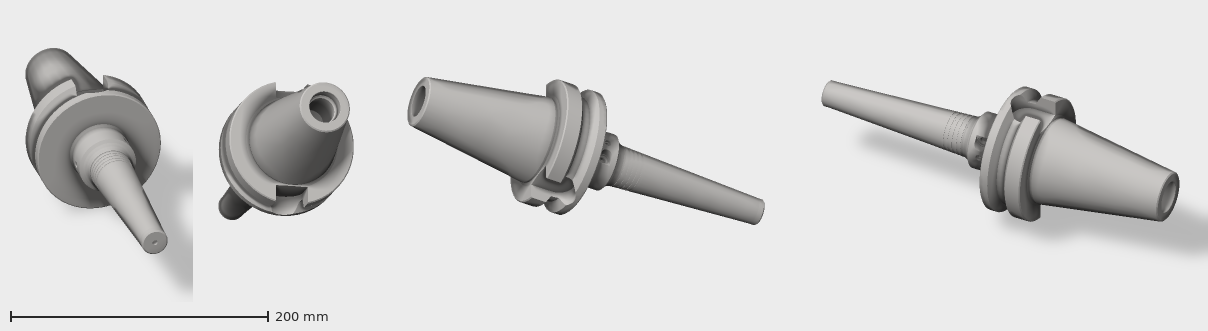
import cadquery as cq
import math

total_length = 296.8

taper_ratio = 7 / 24
gauge_diameter = 69.7
gauge_x = 101.8
neck_diameter = 69.0
taper_edge_chamfer = 1.0
rear_diameter = gauge_diameter - taper_ratio * gauge_x

flange_diameter = 100.0
flange_start_x = 104.8
flange_end_x = 139.8
flange_edge_chamfer = 1.0
flange_root_diameter = 73.5
flange_root_length = 1.0
groove_floor_diameter = 85.0
groove_start_x = 117.5
groove_floor_start_x = 122.0
groove_floor_end_x = 128.2
groove_end_x = 132.7

slot_width = 25.8
slot_floor_height = 35.3
slot_tip_x = 135.5

collar_diameter = 45.7
collar_foot_diameter = 48.0
collar_foot_end_x = 142.5
collar_end_x = 163.2
collar_chamfer_length = 1.8
collar_chamfer_drop = 2.5

nose_start_x = 171.0
nose_root_diameter = 33.2
shank_start_x = 190.5
shank_diameter = 31.2
tip_band_x = 291.5
tip_diameter = 21.0
tip_chamfer = 1.2

ring_count = 5
ring_pitch = 4.0
ring_width = 1.8
ring_depth = 0.3

mouth_diameter = 25.5
mouth_chamfer = 0.3
counterbore_diameter = 25.0
counterbore_depth = 10.7
thread_mouth_diameter = 24.0
thread_diameter = 21.0
thread_start_x = 12.2
thread_end_x = 47.5
coolant_diameter = 4.2
drill_half_angle = math.radians(59)

seat_x = 153.7
seat_width = 10.0
seat_offset_z = 12.2
seat_floor_y = 15.5
screw_head_diameter = 9.0
screw_head_depth = 1.0
screw_socket_mouth_diameter = 6.2
screw_socket_diameter = 4.7
screw_socket_depth = 3.0
cross_hole_diameter = 5.0
cross_hole_offset_z = 1.2
cross_hole_depth = 1.8
cross_hole_pilot_diameter = 3.0
cross_hole_pilot_depth = 3.5


def root_radius(x):
    """Radius of the ringed root cone, before the grooves are cut."""
    slope = (nose_root_diameter - shank_diameter) / 2 / (shank_start_x - nose_start_x)
    return nose_root_diameter / 2 - slope * (x - nose_start_x)


def make_body():
    rear_radius = rear_diameter / 2
    flange_radius = flange_diameter / 2
    groove_floor_radius = groove_floor_diameter / 2
    collar_radius = collar_diameter / 2
    tip_radius = tip_diameter / 2
    profile = (
        cq.Workplane("XY")
        .moveTo(0, 0)
        .lineTo(0, rear_radius - taper_edge_chamfer)
        .lineTo(taper_edge_chamfer, rear_radius + taper_ratio * taper_edge_chamfer / 2)
        .lineTo(gauge_x, gauge_diameter / 2)
        .lineTo(gauge_x, neck_diameter / 2)
        .lineTo(flange_start_x - flange_root_length, neck_diameter / 2)
        .lineTo(flange_start_x, flange_root_diameter / 2)
        .lineTo(flange_start_x, flange_radius - flange_edge_chamfer)
        .lineTo(flange_start_x + flange_edge_chamfer, flange_radius)
        .lineTo(groove_start_x, flange_radius)
        .lineTo(groove_floor_start_x, groove_floor_radius)
        .lineTo(groove_floor_end_x, groove_floor_radius)
        .lineTo(groove_end_x, flange_radius)
        .lineTo(flange_end_x - flange_edge_chamfer, flange_radius)
        .lineTo(flange_end_x, flange_radius - flange_edge_chamfer)
        .lineTo(flange_end_x, collar_foot_diameter / 2)
        .lineTo(collar_foot_end_x, collar_radius)
        .lineTo(collar_end_x, collar_radius)
        .lineTo(collar_end_x + collar_chamfer_length, collar_radius - collar_chamfer_drop)
        .tangentArcPoint((nose_start_x, nose_root_diameter / 2), relative=False)
        .lineTo(shank_start_x, shank_diameter / 2)
        .lineTo(tip_band_x, tip_radius)
        .lineTo(total_length - tip_chamfer, tip_radius)
        .lineTo(total_length, tip_radius - tip_chamfer)
        .lineTo(total_length, 0)
        .close()
    )
    return profile.revolve(360, (0, 0, 0), (1, 0, 0))


def make_ring_grooves():
    grooves = cq.Workplane("XY")
    for index in range(ring_count):
        start_x = nose_start_x + index * ring_pitch
        end_x = start_x + ring_width
        outer_radius = collar_diameter / 2
        groove = (
            cq.Workplane("XY")
            .moveTo(start_x, root_radius(start_x) - ring_depth)
            .lineTo(start_x, outer_radius)
            .lineTo(end_x, outer_radius)
            .lineTo(end_x, root_radius(end_x) - ring_depth)
            .close()
            .revolve(360, (0, 0, 0), (1, 0, 0))
        )
        grooves = grooves.add(groove)
    return grooves.combine()


def make_bore():
    coolant_radius = coolant_diameter / 2
    thread_radius = thread_diameter / 2
    cone_length = (thread_radius - coolant_radius) / math.tan(drill_half_angle)
    profile = (
        cq.Workplane("XY")
        .moveTo(0, 0)
        .lineTo(0, mouth_diameter / 2)
        .lineTo(mouth_chamfer, counterbore_diameter / 2)
        .lineTo(counterbore_depth, counterbore_diameter / 2)
        .lineTo(counterbore_depth, thread_mouth_diameter / 2)
        .lineTo(thread_start_x, thread_radius)
        .lineTo(thread_end_x, thread_radius)
        .lineTo(thread_end_x + cone_length, coolant_radius)
        .lineTo(total_length, coolant_radius)
        .lineTo(total_length, 0)
        .close()
    )
    return profile.revolve(360, (0, 0, 0), (1, 0, 0))


def make_drive_slot():
    half_width = slot_width / 2
    arc_start_x = slot_tip_x - half_width
    open_end_x = flange_start_x - flange_root_length
    return (
        cq.Workplane("XY", origin=(0, 0, slot_floor_height))
        .moveTo(open_end_x, -half_width)
        .lineTo(arc_start_x, -half_width)
        .threePointArc((slot_tip_x, 0), (arc_start_x, half_width))
        .lineTo(open_end_x, half_width)
        .close()
        .extrude(flange_diameter / 2)
    )


def make_side_hole(center, mouth_y, diameter, depth, floor_diameter=None):
    """Round hole along Y, entered from the -Y side; tapered when a floor diameter is given."""
    center_x, center_z = center
    floor_radius = (floor_diameter or diameter) / 2
    profile = (
        cq.Workplane("XY")
        .moveTo(0, 0)
        .lineTo(diameter / 2, 0)
        .lineTo(floor_radius, depth)
        .lineTo(0, depth)
        .close()
    )
    hole = profile.revolve(360, (0, 0, 0), (0, 1, 0))
    return hole.translate((center_x, -mouth_y, center_z))


def make_side_cuts():
    """Screw seat and cross hole on the -Y side of the collar."""
    collar_radius = collar_diameter / 2
    half_width = seat_width / 2
    seat = (
        cq.Workplane("XZ", origin=(seat_x, -seat_floor_y, -seat_offset_z))
        .moveTo(-half_width, -collar_radius)
        .lineTo(-half_width, 0)
        .threePointArc((0, half_width), (half_width, 0))
        .lineTo(half_width, -collar_radius)
        .close()
        .extrude(collar_radius)
    )
    seat_center = (seat_x, -seat_offset_z)
    cross_center = (seat_x, -cross_hole_offset_z)
    head_floor_y = seat_floor_y - screw_head_depth
    socket_chamfer = (screw_socket_mouth_diameter - screw_socket_diameter) / 2
    screw_head = make_side_hole(seat_center, seat_floor_y, screw_head_diameter, screw_head_depth)
    socket = make_side_hole(seat_center, head_floor_y, screw_socket_diameter, screw_socket_depth)
    socket_mouth = make_side_hole(
        seat_center, head_floor_y, screw_socket_mouth_diameter, socket_chamfer, screw_socket_diameter
    )
    cross_hole = make_side_hole(cross_center, collar_radius, cross_hole_diameter, cross_hole_depth)
    cross_pilot = make_side_hole(
        cross_center, collar_radius, cross_hole_pilot_diameter, cross_hole_pilot_depth
    )
    for hole in (screw_head, socket, socket_mouth, cross_hole, cross_pilot):
        seat = seat.union(hole)
    return seat


body = make_body().cut(make_ring_grooves()).cut(make_bore())

for cutter in (make_drive_slot(), make_side_cuts()):
    for turn in (0, 180):
        body = body.cut(cutter.rotate((0, 0, 0), (1, 0, 0), turn))

result = body